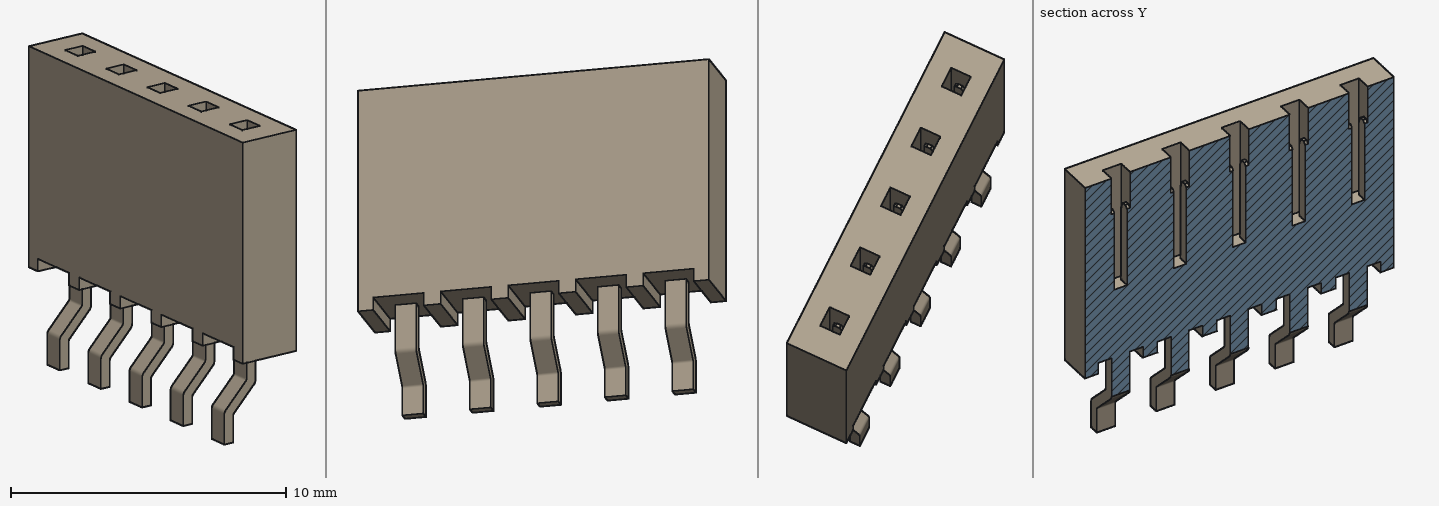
import cadquery as cq
import math


pin_count = 5
pitch = 2.54
housing_length = 13.21
housing_width = 2.41
overall_height = 11.94
tail_drop = 3.43
housing_height = overall_height - tail_drop
foot_length = 0.635
foot_height = 0.48
notch_length = pitch - foot_length

socket_size = 0.79
socket_depth = 5.0
socket_floor_z = housing_height - socket_depth

contact_thickness = 0.406
tine_width = 0.13
tine_recess = 1.5
tine_tip_z = housing_height - tine_recess
tine_back_bevel = 0.10
tine_back_bevel_drop = 0.10
tine_front_bevel = 0.14
tine_front_bevel_drop = 0.28

tail_width = socket_size
slope_angle = 46
slope_top_z = -1.14
concave_bend_radius = 0.13
convex_bend_radius = 0.254

pin_positions = [(i - (pin_count - 1) / 2) * pitch for i in range(pin_count)]


def box_at(x, size_x, size_y, bottom_z, top_z):
    """Upright box centred on (x, 0) between two heights."""
    return (
        cq.Workplane("XY", origin=(x, 0, bottom_z))
        .rect(size_x, size_y)
        .extrude(top_z - bottom_z)
    )


def extrude_profile(profile_yz, x, width):
    """Extrude a closed (Y, Z) outline along X, centred on x."""
    return (
        cq.Workplane("YZ", origin=(x - width / 2, 0, 0))
        .polyline(profile_yz)
        .close()
        .extrude(width)
    )


def make_housing():
    """Block with a notch under every pin and a square socket above it."""
    housing = box_at(0, housing_length, housing_width, 0, housing_height)
    for x in pin_positions:
        housing = housing.cut(box_at(x, notch_length, housing_width, 0, foot_height))
        housing = housing.cut(box_at(x, socket_size, socket_size, socket_floor_z, housing_height))
    return housing


def make_tine(x):
    """Contact tine standing on the socket floor, bevelled at the tip."""
    half = contact_thickness / 2
    profile = [
        (-half, socket_floor_z),
        (half, socket_floor_z),
        (half, tine_tip_z - tine_back_bevel_drop),
        (half - tine_back_bevel, tine_tip_z),
        (-half + tine_front_bevel, tine_tip_z),
        (-half, tine_tip_z - tine_front_bevel_drop),
    ]
    return extrude_profile(profile, x, tine_width)


def make_tail(x):
    """Tail of constant thickness whose lower end is flush with the -Y face."""
    front_y = -contact_thickness / 2
    back_y = contact_thickness / 2
    end_front_y = -housing_width / 2
    end_back_y = end_front_y + contact_thickness
    slope_bottom_z = slope_top_z - (front_y - end_front_y) * math.tan(math.radians(slope_angle))
    back_shift = contact_thickness * math.tan(math.radians(90 - slope_angle) / 2)

    front_upper = (front_y, slope_top_z)
    front_lower = (end_front_y, slope_bottom_z)
    back_lower = (end_back_y, slope_bottom_z - back_shift)
    back_upper = (back_y, slope_top_z - back_shift)
    profile = [
        (front_y, foot_height),
        front_upper,
        front_lower,
        (end_front_y, -tail_drop),
        (end_back_y, -tail_drop),
        back_lower,
        back_upper,
        (back_y, foot_height),
    ]
    tail = extrude_profile(profile, x, tail_width)
    bend_radii = [
        (front_upper, concave_bend_radius),
        (back_lower, concave_bend_radius),
        (front_lower, convex_bend_radius),
        (back_upper, convex_bend_radius),
    ]
    for (y, z), radius in bend_radii:
        bend_edge = cq.selectors.NearestToPointSelector((x, y, z))
        tail = tail.edges(bend_edge).fillet(radius)
    return tail


result = make_housing()
tine_offset = (socket_size - tine_width) / 2
for pin_x in pin_positions:
    result = result.union(make_tail(pin_x))
    for side in (-1, 1):
        result = result.union(make_tine(pin_x + side * tine_offset))